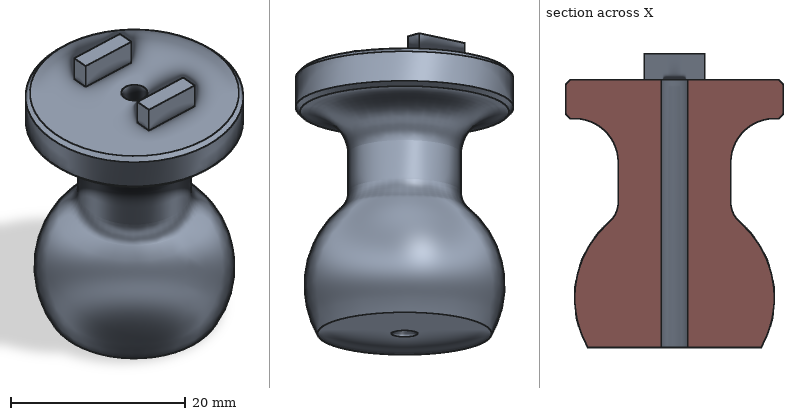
import cadquery as cq
import math

total_height = 33.75

flange_radius = 25.0 / 2
flange_thickness = 4.5
flange_chamfer = 0.5
tab_height = 3.0
tab_width = 2.0
tab_length = 7.0
tab_outer_span = 13.0

neck_radius = 13.0 / 2
neck_top_fillet = 5.0
neck_ball_fillet = 3.0
ball_radius = 11.5
ball_flat_radius = 10.0
bore_diameter = 3.0

flange_top = total_height - tab_height
flange_bottom = flange_top - flange_thickness
neck_top = flange_bottom - neck_top_fillet
ball_center = math.sqrt(ball_radius**2 - ball_flat_radius**2)

fillet_center_radius = neck_radius + neck_ball_fillet
fillet_center_distance = ball_radius + neck_ball_fillet
neck_bottom = ball_center + math.sqrt(fillet_center_distance**2 - fillet_center_radius**2)
tangent_angle = math.atan2(neck_bottom - ball_center, fillet_center_radius)


def arc_point(center, radius, angle):
    """Point on a circle in the (radius, height) half-plane."""
    return (center[0] + radius * math.cos(angle), center[1] + radius * math.sin(angle))


def revolved_body():
    ball_tangent = arc_point((0, ball_center), ball_radius, tangent_angle)
    fillet_middle = arc_point(
        (fillet_center_radius, neck_bottom), neck_ball_fillet, math.pi + tangent_angle / 2
    )
    top_fillet_outer = neck_radius + neck_top_fillet
    top_fillet_middle = arc_point((top_fillet_outer, neck_top), neck_top_fillet, math.radians(135))
    chamfered_radius = flange_radius - flange_chamfer
    return (
        cq.Workplane("XZ")
        .lineTo(ball_flat_radius, 0)
        .threePointArc((ball_radius, ball_center), ball_tangent)
        .threePointArc(fillet_middle, (neck_radius, neck_bottom))
        .lineTo(neck_radius, neck_top)
        .threePointArc(top_fillet_middle, (top_fillet_outer, flange_bottom))
        .lineTo(chamfered_radius, flange_bottom)
        .lineTo(flange_radius, flange_bottom + flange_chamfer)
        .lineTo(flange_radius, flange_top - flange_chamfer)
        .lineTo(chamfered_radius, flange_top)
        .lineTo(0, flange_top)
        .close()
        .revolve(360, (0, 0, 0), (0, 1, 0))
    )


def tabs():
    tab_offset = (tab_outer_span - tab_width) / 2
    return (
        cq.Workplane("XY")
        .workplane(offset=flange_top)
        .pushPoints([(-tab_offset, 0), (tab_offset, 0)])
        .rect(tab_width, tab_length)
        .extrude(tab_height)
    )


def through_bore():
    return cq.Workplane("XY").circle(bore_diameter / 2).extrude(total_height)


result = revolved_body().union(tabs()).cut(through_bore())